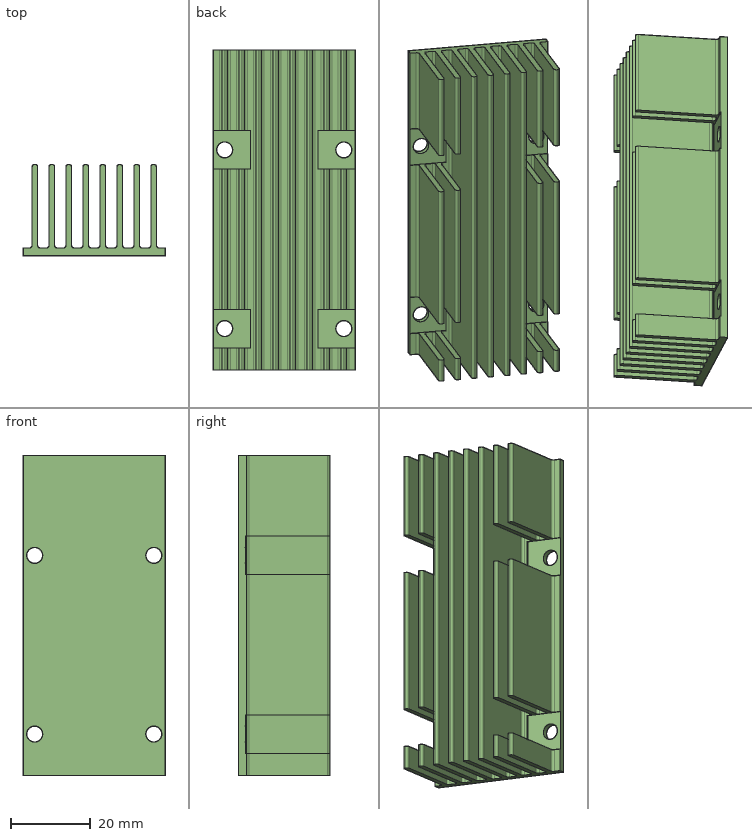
import cadquery as cq

length = 80.1
width = 35.55
total_height = 22.9
base_thickness = 2.0

fin_count = 8
fin_pitch = 4.25
fin_thickness = 1.45
fin_tip_radius = 0.68
fin_root_radius = 0.65
first_fin_x = -(fin_count - 1) * fin_pitch / 2

hole_diameter = 3.9
hole_spacing_x = 29.8
hole_spacing_z = 44.7
hole_center_z = -7.3

notched_fins = 2
notch_length = 9.6
notch_depth_in_base = 0.28
notch_floor_y = base_thickness - notch_depth_in_base
notch_inner_x = -first_fin_x - (notched_fins - 0.5) * fin_pitch


def make_finned_body():
    """Base plate carrying a row of fins with rounded tips and filleted roots."""
    body = cq.Workplane("XY").box(width, base_thickness, length, centered=(True, False, True))
    fin = (
        cq.Workplane("XY")
        .box(fin_thickness, total_height, length, centered=(True, False, True))
        .faces(">Y")
        .edges("|Z")
        .fillet(fin_tip_radius)
    )
    for index in range(fin_count):
        body = body.union(fin.translate((first_fin_x + index * fin_pitch, 0, 0)))

    row_half_width = fin_count * fin_pitch / 2
    root_edges = cq.selectors.BoxSelector(
        (-row_half_width, base_thickness - fin_root_radius / 2, -length / 2),
        (row_half_width, base_thickness + fin_root_radius / 2, length / 2),
    )
    return body.edges("|Z").edges(root_edges).fillet(fin_root_radius)


def make_notches():
    """Blocks that remove the outer fins on both sides at each row of holes."""
    notch_width = width / 2 - notch_inner_x
    notch_center_x = (width / 2 + notch_inner_x) / 2
    return (
        cq.Workplane("XZ", origin=(0, notch_floor_y, hole_center_z))
        .rarray(2 * notch_center_x, hole_spacing_z, 2, 2)
        .rect(notch_width, notch_length)
        .extrude(-total_height)
    )


def make_holes():
    """Through-hole cylinders along Y at the four mounting points."""
    return (
        cq.Workplane("XZ", origin=(0, 0, hole_center_z))
        .rarray(hole_spacing_x, hole_spacing_z, 2, 2)
        .circle(hole_diameter / 2)
        .extrude(-total_height)
    )


result = make_finned_body().cut(make_notches()).cut(make_holes())